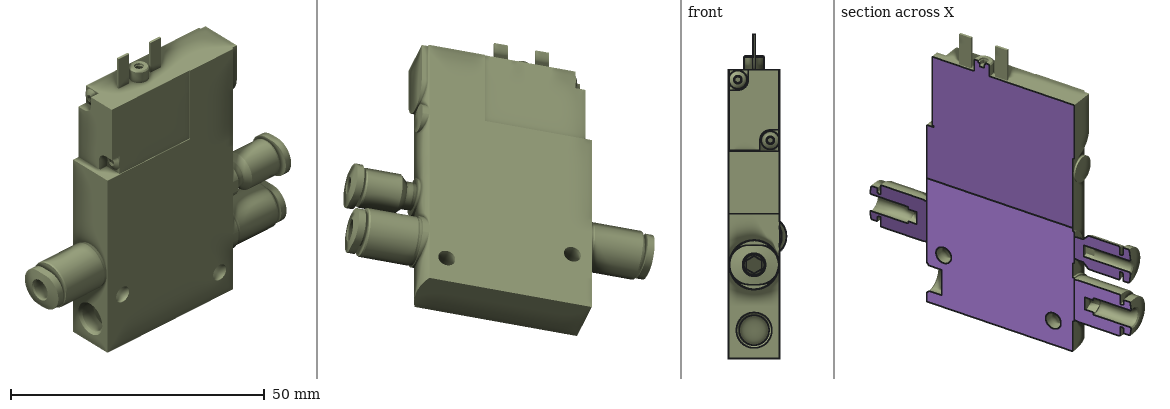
import cadquery as cq
import math


thickness = 10.1
half_thickness = thickness / 2
base_height = 28.6
valve_top = 57.0
rear_edge_y = 33.5
rear_crest_y = 34.55
boss_end_y = 34.9

mounting_holes = [(29.9, 5.6), (4.0, 12.05)]
mounting_hole_dia = 3.5

port_z = 5.6
port_dia = 5.92
port_mouth_dia = 7.0
port_depth = 3.5
port_mouth_angle = 90

front_fitting_z = 18.5
rear_large_z = 12.08
rear_small_x = 1.5
rear_small_z = 24.1
large_boss_dia = 10.28
small_boss_dia = 7.6

pilot_front_y = 1.25
pilot_rear_y = 22.0
pilot_step_z = 40.85
pilot_side_recess = 0.15
pilot_groove_height = 0.2
pilot_groove_depth = 0.4

pad_radius = 4.6
pad_round_z = 49.0
side_boss_x = -2.33
side_boss_z = 40.7
side_boss_dia = 5.6

screw_offset_x = 3.2
upper_screw_z = 55.0
lower_screw_z = 43.05
screw_pocket_radius = 2.05
screw_pocket_depth = 2.1
screw_head_dia = 3.6
screw_head_height = 0.75
screw_rim_height = 0.1
screw_socket_dia = 1.57
screw_socket_depth = 0.25
screw_hex_across_flats = 1.2
screw_hex_depth = 0.6

terminal_mid_y = 13.0
terminal_spacing = 8.5
terminal_width = 2.8
terminal_thickness = 0.5
terminal_top = 64.0
button_dia = 4.0
button_height = 2.7
button_chamfer = 0.25
button_socket_dia = 2.0
button_socket_depth = 0.4
button_hex_across_flats = 1.5
button_hex_depth = 1.2

ring_dia = 7.8
ring_flat = 2.0
ring_width = ring_dia + ring_flat
ring_thickness = 1.4
ring_gap = 0.7
dome_height = 0.45
neck_flare_length = 0.25

base_rim_length = 0.43
rim_chamfer_length = 0.31
rim_inset = 0.1

large_dia = 9.8
large_length = 10.9
large_neck_dia = 5.5
large_collar_dia = 5.92
large_mouth_dia = 4.55
large_bore_dia = 4.0

small_dia = 8.0
small_length = 10.75
small_stem_dia = 5.6
small_cone_start = 2.0
small_cone_end = 3.3
small_neck_dia = 4.4
small_collar_dia = 4.8
small_mouth_dia = 3.5
small_bore_dia = 3.0

mouth_chamfer = (large_mouth_dia - large_bore_dia) / 2
bore_depth = 9.0
hex_across_flats = 3.0
hex_depth = 2.0


def cylinder_y(dia, x, z, y_start, y_end):
    """Cylinder along Y from y_start to y_end."""
    direction = cq.Vector(0, math.copysign(1, y_end - y_start), 0)
    start = cq.Vector(x, y_start, z)
    return cq.Workplane(cq.Solid.makeCylinder(dia / 2, abs(y_end - y_start), start, direction))


def box(x_range, y_range, z_range):
    """Box between the given limits."""
    sizes = [high - low for low, high in (x_range, y_range, z_range)]
    corner = (x_range[0], y_range[0], z_range[0])
    return cq.Workplane("XY").box(*sizes, centered=False).translate(corner)


def crowned_block(z_bottom, z_top):
    """Block with a flat front and a rear face crowned across its thickness."""
    return (
        cq.Workplane("XY")
        .workplane(offset=z_bottom)
        .moveTo(-half_thickness, 0)
        .lineTo(half_thickness, 0)
        .lineTo(half_thickness, rear_edge_y)
        .threePointArc((0, rear_crest_y), (-half_thickness, rear_edge_y))
        .close()
        .extrude(z_top - z_bottom)
    )


def rear_boss(dia, x, z, z_bottom, z_top):
    """Round boss on the rear face, trimmed to the outline of its block."""
    boss = cylinder_y(dia, x, z, rear_edge_y - 1, boss_end_y)
    limits = box((-half_thickness, half_thickness), (0, boss_end_y), (z_bottom, z_top))
    return boss.intersect(limits)


def make_base():
    base = crowned_block(0, base_height)
    base = base.union(rear_boss(large_boss_dia, 0, rear_large_z, 0, base_height))
    base = base.union(rear_boss(small_boss_dia, rear_small_x, rear_small_z, 0, base_height))
    for y, z in mounting_holes:
        hole = cq.Workplane("YZ", origin=(-half_thickness, y, z)).circle(mounting_hole_dia / 2)
        base = base.cut(hole.extrude(thickness))
    port = cylinder_y(port_dia, 0, port_z, 0, port_depth)
    half_angle = math.radians(port_mouth_angle / 2)
    countersink_depth = (port_mouth_dia - port_dia) / 2 / math.tan(half_angle)
    mouth = cq.Solid.makeCone(
        port_mouth_dia / 2,
        port_dia / 2,
        countersink_depth,
        cq.Vector(0, 0, port_z),
        cq.Vector(0, 1, 0),
    )
    return base.cut(port).cut(cq.Workplane(mouth))


def cut_pilot_outline(valve):
    """Set the pilot section back at the front, on both sides and above its step."""
    full_width = (-half_thickness, half_thickness)
    valve = valve.cut(box(full_width, (0, pilot_front_y), (pilot_step_z, valve_top)))
    groove_top = pilot_step_z + pilot_groove_height
    groove_end = pilot_front_y + pilot_groove_depth
    valve = valve.cut(box(full_width, (pilot_front_y, groove_end), (pilot_step_z, groove_top)))
    side_inner = half_thickness - pilot_side_recess
    for x_range in [(-half_thickness, -side_inner), (side_inner, half_thickness)]:
        side = box(x_range, (pilot_front_y, pilot_rear_y), (pilot_step_z, valve_top))
        valve = valve.cut(side)
    return valve


def screw_pocket(side, z, z_open):
    """Corner pocket around a screw, open to one side and up or down to z_open."""
    x = side * screw_offset_x
    floor_y = pilot_front_y + screw_pocket_depth
    y_range = (pilot_front_y, floor_y)
    outer_x = side * half_thickness
    inner_x = x - side * screw_pocket_radius
    inner_z = z - math.copysign(screw_pocket_radius, z_open - z)
    pocket = cylinder_y(2 * screw_pocket_radius, x, z, pilot_front_y, floor_y)
    pocket = pocket.union(box(sorted((x, outer_x)), y_range, sorted((inner_z, z_open))))
    return pocket.union(box(sorted((inner_x, outer_x)), y_range, sorted((z, z_open))))


def screw_head(side, z):
    """Domed screw head with a hexagon socket, trimmed at the pilot's side."""
    x = side * screw_offset_x
    floor_y = pilot_front_y + screw_pocket_depth
    top_y = floor_y - screw_head_height
    head = cylinder_y(screw_head_dia, x, z, floor_y, top_y)
    dome_rise = screw_head_height - screw_rim_height
    dome_radius = ((screw_head_dia / 2) ** 2 + dome_rise**2) / (2 * dome_rise)
    dome = cq.Workplane("XY").sphere(dome_radius).translate((x, top_y + dome_radius, z))
    head = head.intersect(dome)
    socket = cylinder_y(screw_socket_dia, x, z, top_y, top_y + screw_socket_depth)
    hexagon = (
        cq.Workplane("XZ", origin=(x, top_y, z))
        .polygon(6, screw_hex_across_flats, circumscribed=True)
        .extrude(-screw_hex_depth)
    )
    socket = socket.union(hexagon)
    side_inner = half_thickness - pilot_side_recess
    limits = box((-side_inner, side_inner), (0, floor_y), (pilot_step_z, valve_top))
    return head.cut(socket).intersect(limits)


def make_button():
    """Round override button with a hexagon socket."""
    return (
        cq.Workplane("XY", origin=(0, terminal_mid_y, valve_top))
        .circle(button_dia / 2)
        .extrude(button_height)
        .faces(">Z")
        .chamfer(button_chamfer)
        .faces(">Z")
        .workplane()
        .hole(button_socket_dia, button_socket_depth)
        .faces(">Z")
        .workplane()
        .polygon(6, button_hex_across_flats, circumscribed=True)
        .cutBlind(-button_hex_depth)
    )


def make_valve():
    valve = crowned_block(base_height, valve_top)
    valve = valve.union(rear_boss(2 * pad_radius, 0, pad_round_z, base_height, valve_top))
    pad = box((-pad_radius, pad_radius), (pilot_rear_y, boss_end_y), (pad_round_z, valve_top))
    valve = valve.union(pad)
    side_boss = rear_boss(side_boss_dia, side_boss_x, side_boss_z, base_height, valve_top)
    valve = valve.union(side_boss)

    valve = cut_pilot_outline(valve)
    for side, z, z_open in [(-1, upper_screw_z, valve_top), (1, lower_screw_z, pilot_step_z)]:
        valve = valve.cut(screw_pocket(side, z, z_open))
        valve = valve.union(screw_head(side, z))

    valve = valve.union(make_button())
    for direction in (-1, 1):
        y = terminal_mid_y + direction * terminal_spacing / 2
        terminal = box(
            (-terminal_thickness / 2, terminal_thickness / 2),
            (y - terminal_width / 2, y + terminal_width / 2),
            (valve_top, terminal_top),
        )
        valve = valve.union(terminal)
    return valve


def turned(points):
    """Solid of revolution about Y from (radius, Y) points, closed along the axis."""
    outline = [(0, points[0][1])] + points + [(0, points[-1][1])]
    return cq.Workplane("XY").polyline(outline).close().revolve(360, (0, 0), (0, 1))


def make_fitting(shell_points, neck_dia, collar_dia, mouth_dia, bore_dia):
    """Turned shell with a neck, an oval release ring and a tube bore with a hexagon."""
    shell_end = shell_points[-1][1]
    ring_start = shell_end + ring_gap
    ring_end = ring_start + ring_thickness
    tip = ring_end + dome_height

    neck = [
        (neck_dia / 2, shell_end),
        (neck_dia / 2, ring_start - neck_flare_length),
        (collar_dia / 2, ring_start),
    ]
    body = turned(shell_points + neck)

    oval = (
        cq.Workplane("XZ", origin=(0, ring_start, 0))
        .slot2D(ring_width, ring_dia)
        .extrude(-(tip - ring_start))
    )
    domed_disc = turned(
        [(ring_width / 2, ring_start), (ring_width / 2, ring_end), (mouth_dia / 2, tip)]
    )
    body = body.union(oval.intersect(domed_disc))

    bore_floor = tip - bore_depth
    bore = turned(
        [
            (bore_dia / 2, bore_floor),
            (bore_dia / 2, tip - mouth_chamfer),
            (mouth_dia / 2, tip),
        ]
    )
    hexagon = (
        cq.Workplane("XZ", origin=(0, bore_floor, 0))
        .polygon(6, hex_across_flats, circumscribed=True)
        .extrude(hex_depth)
    )
    return body.cut(bore).cut(hexagon)


def make_large_fitting():
    radius = large_dia / 2
    rim_radius = radius - rim_inset
    shell = [
        (rim_radius, 0),
        (rim_radius, base_rim_length),
        (radius, base_rim_length + rim_chamfer_length),
        (radius, large_length - rim_chamfer_length),
        (rim_radius, large_length),
    ]
    return make_fitting(shell, large_neck_dia, large_collar_dia, large_mouth_dia, large_bore_dia)


def make_small_fitting():
    radius = small_dia / 2
    stem_radius = small_stem_dia / 2
    shell = [
        (stem_radius - rim_inset, 0),
        (stem_radius - rim_inset, base_rim_length),
        (stem_radius, base_rim_length + rim_chamfer_length),
        (stem_radius, small_cone_start),
        (radius, small_cone_end),
        (radius, small_length - rim_chamfer_length),
        (radius - rim_inset, small_length),
    ]
    return make_fitting(shell, small_neck_dia, small_collar_dia, small_mouth_dia, small_bore_dia)


base = make_base()
valve = make_valve()
front_fitting = (
    make_large_fitting().rotate((0, 0, 0), (0, 0, 1), 180).translate((0, 0, front_fitting_z))
)
rear_large_fitting = make_large_fitting().translate((0, boss_end_y, rear_large_z))
rear_small_fitting = make_small_fitting().translate((rear_small_x, boss_end_y, rear_small_z))

result = cq.Compound.makeCompound(
    [
        base.solids().val(),
        valve.solids().val(),
        front_fitting.solids().val(),
        rear_large_fitting.solids().val(),
        rear_small_fitting.solids().val(),
    ]
)